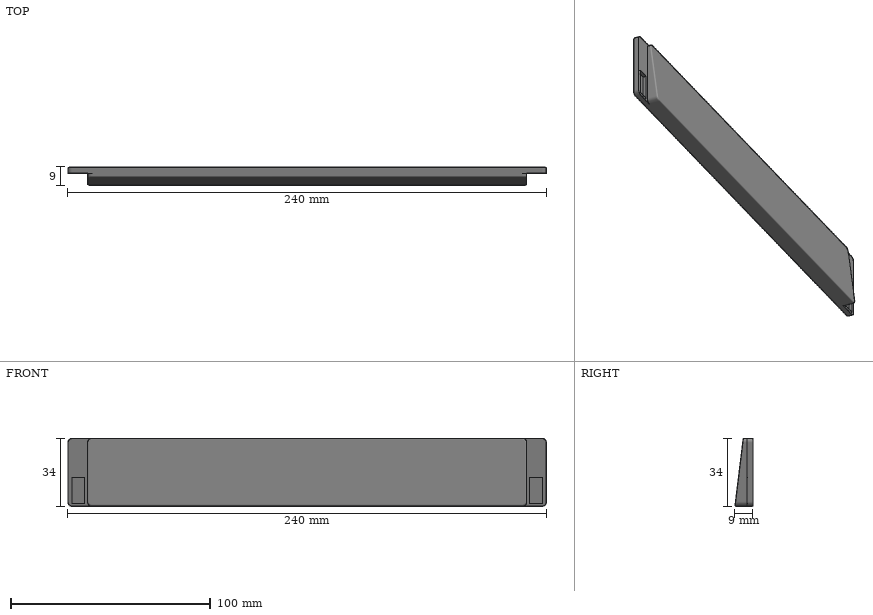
import cadquery as cq
import math

length = 240.0
depth = 9.0
height = 34.0

plate_thickness = 3.0
panel_inset = 9.8
panel_top_depth = 5.0
corner_radius = 2.2
edge_radius = 0.7

pocket_width = 6.5
pocket_height = 13.0
pocket_end_margin = 2.0
pocket_bottom_margin = 1.5
pocket_depth = 1.7

back_y = depth
plate_front_y = back_y - plate_thickness
panel_length = length - 2 * panel_inset


def make_plate():
    """Plate with rounded corners and a softened rear rim."""
    plate = cq.Workplane("XY").box(length, plate_thickness, height, centered=(True, False, False))
    plate = plate.translate((0, plate_front_y, 0))
    plate = plate.edges("|Y").fillet(corner_radius)
    return plate.faces(">Y").edges().fillet(edge_radius)


def make_panel():
    """Panel that grows deeper toward the bottom, with rounded corners and front rim."""
    panel_top_y = back_y - panel_top_depth
    taper = math.atan2(panel_top_y, height)
    tip_y = -edge_radius * (math.tan(taper) + 1 / math.cos(taper) - 1)
    root_y = back_y - edge_radius
    profile = [(root_y, 0), (tip_y, 0), (panel_top_y, height), (root_y, height)]
    panel = cq.Workplane("YZ").polyline(profile).close().extrude(panel_length / 2, both=True)
    panel = panel.edges("|Y").fillet(corner_radius)
    return panel.faces("<Y").edges().fillet(edge_radius)


def make_pocket(side):
    """Cutter for the pocket at the left (-1) or right (+1) end."""
    center_x = side * (length / 2 - pocket_end_margin - pocket_width / 2)
    pocket = cq.Workplane("XY").box(
        pocket_width, pocket_depth, pocket_height, centered=(True, False, False)
    )
    return pocket.translate((center_x, plate_front_y, pocket_bottom_margin))


result = make_plate().union(make_panel())
for side in (-1, 1):
    result = result.cut(make_pocket(side))